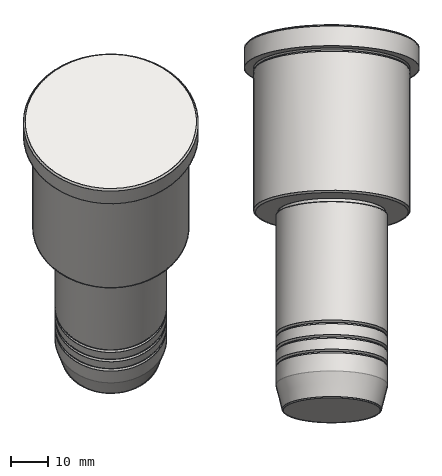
import cadquery as cq

total_length = 101.0
flange_thickness = 6.0
body_length = 40.0
neck_length = 1.0
nose_length = 7.0

flange_radius = 47.0 / 2
body_radius = 42.0 / 2
shank_radius = 30.0 / 2
neck_radius = shank_radius - 0.5
nose_tip_radius = 13.3

edge_chamfer = 0.5
tip_chamfer = 0.3

groove_count = 3
groove_pitch = 4.0
groove_half_width = 0.5
groove_depth = 0.5
lowest_groove_height = 12.5

relief_width = 0.9
relief_depth = 0.4

flange_bottom = total_length - flange_thickness
body_bottom = flange_bottom - body_length
shank_top = body_bottom - neck_length


def make_pin():
    """Revolve the stepped half profile around the Z axis."""
    profile = [
        (0, 0),
        (nose_tip_radius - tip_chamfer, 0),
        (nose_tip_radius, tip_chamfer),
        (shank_radius, nose_length),
        (shank_radius, shank_top),
        (neck_radius, shank_top),
        (neck_radius, body_bottom),
        (body_radius - edge_chamfer, body_bottom),
        (body_radius, body_bottom + edge_chamfer),
        (body_radius, flange_bottom - relief_width),
        (body_radius - relief_depth, flange_bottom - relief_width / 2),
        (body_radius, flange_bottom),
        (flange_radius, flange_bottom),
        (flange_radius, total_length - edge_chamfer),
        (flange_radius - edge_chamfer, total_length),
        (0, total_length),
    ]
    return cq.Workplane("XZ").polyline(profile).close().revolve(360, (0, 0), (0, 1))


def make_groove(height):
    """Ring with a triangular section, centred on the given height."""
    section = [
        (shank_radius, height - groove_half_width),
        (shank_radius - groove_depth, height),
        (shank_radius, height + groove_half_width),
    ]
    return cq.Workplane("XZ").polyline(section).close().revolve(360, (0, 0), (0, 1))


result = make_pin()
for index in range(groove_count):
    result = result.cut(make_groove(lowest_groove_height + index * groove_pitch))